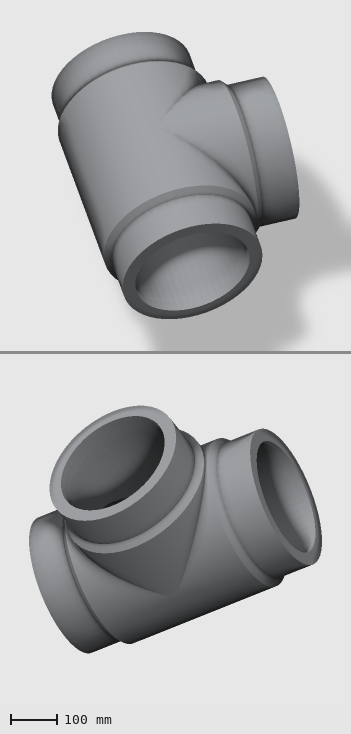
import cadquery as cq

run_length = 550.0
pipe_diameter = 315.0
body_diameter = 344.0
bore_diameter = 258.0
spigot_length = 82.5

arm_length = run_length / 2
body_reach = arm_length - spigot_length
chamfer_size = (body_diameter - pipe_diameter) / 2

run_start = cq.Plane(origin=(-arm_length, 0, 0), xDir=(0, 1, 0), normal=(1, 0, 0))
body_start = cq.Plane(origin=(-body_reach, 0, 0), xDir=(0, 1, 0), normal=(1, 0, 0))
branch_start = cq.Plane(origin=(0, 0, 0), xDir=(1, 0, 0), normal=(0, 1, 0))


def cylinder(plane, diameter, length):
    return cq.Workplane(plane).circle(diameter / 2).extrude(length)


def make_run():
    pipe = cylinder(run_start, pipe_diameter, run_length)
    body = cylinder(body_start, body_diameter, 2 * body_reach)
    return pipe.union(body.faces("<X or >X").chamfer(chamfer_size))


def make_branch():
    pipe = cylinder(branch_start, pipe_diameter, arm_length)
    body = cylinder(branch_start, body_diameter, body_reach)
    return pipe.union(body.faces(">Y").chamfer(chamfer_size))


def make_bores():
    run_bore = cylinder(run_start, bore_diameter, run_length)
    branch_bore = cylinder(branch_start, bore_diameter, arm_length)
    return run_bore, branch_bore


result = make_run().union(make_branch())
for bore in make_bores():
    result = result.cut(bore)